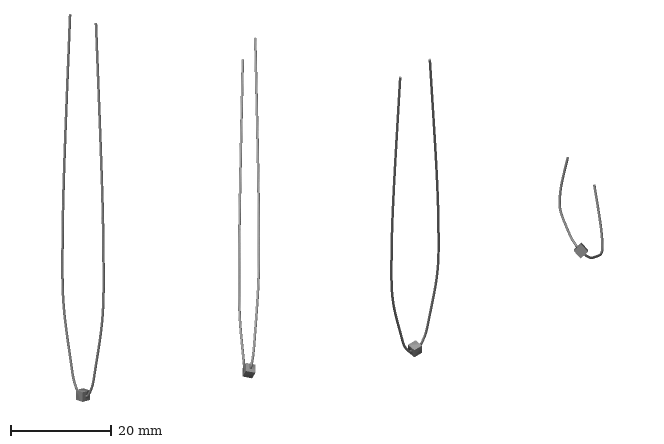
import cadquery as cq
import math

cube_side = 2.0
half_cube = cube_side / 2

overall_width = 12.77
overall_height = 79.53
wire_diameter = 0.5
wire_radius = wire_diameter / 2

bend_radius = 0.7
bend_angle = math.radians(60)

widest_x = overall_width / 2 - wire_radius
widest_z = 26.0

tip_x = 3.86
tip_lean = 0.055
tip_z = overall_height - half_cube - wire_radius * tip_lean

root_point = (half_cube, 0.0)
bend_end = (
    half_cube + bend_radius * math.sin(bend_angle),
    bend_radius * (1 - math.cos(bend_angle)),
)
bend_direction = (math.cos(bend_angle), math.sin(bend_angle))
tip_direction = (-tip_lean, 1.0)

bow_points = [
    bend_end,
    (1.95, 0.9),
    (2.55, 2.0),
    (3.40, 5.0),
    (4.48, 10.0),
    (5.45, 15.0),
    (6.01, 20.0),
    (widest_x, widest_z),
    (6.00, 36.0),
    (5.43, 50.0),
    (tip_x, tip_z),
]


def make_cube():
    return cq.Workplane("XY").box(cube_side, cube_side, cube_side)


def make_right_arm():
    """Sweep the round wire section along the bend and the bow, starting inside the cube."""
    path = (
        cq.Workplane("XZ")
        .lineTo(*root_point)
        .tangentArcPoint(bend_end, relative=False)
        .spline(bow_points, tangents=[bend_direction, tip_direction], scale=False)
    )
    section_plane = cq.Workplane("YZ")
    return section_plane.circle(wire_radius).sweep(path)


right_arm = make_right_arm()
left_arm = right_arm.mirror("YZ")
result = make_cube().union(right_arm).union(left_arm)